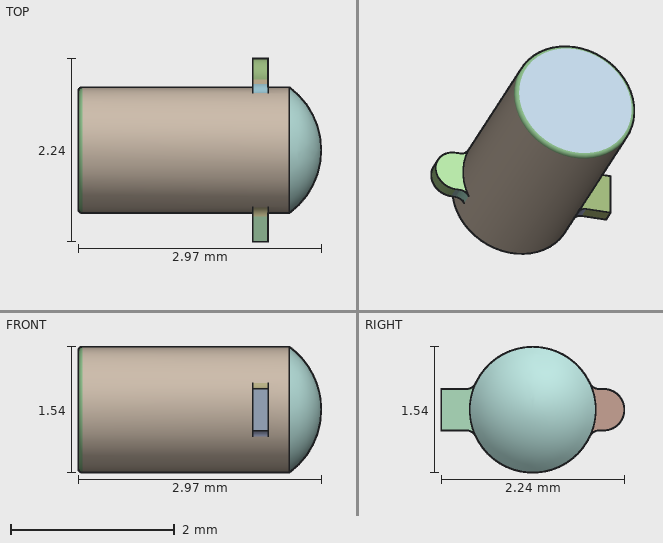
import cadquery as cq
import math

body_radius = 0.77
overall_length = 2.97
dome_height = 0.39
end_fillet = 0.05

tab_start = 2.13
tab_thickness = 0.19
tab_width = 0.51
tab_reach = 1.12
root_fillet = 0.12

dome_start = overall_length - dome_height
dome_radius = (body_radius**2 + dome_height**2) / (2 * dome_height)
dome_half_angle = math.asin(body_radius / dome_radius) / 2
dome_center = overall_length - dome_radius
tab_half_width = tab_width / 2

blend_center_z = tab_half_width + root_fillet
blend_center_y = math.sqrt((body_radius + root_fillet)**2 - blend_center_z**2)
blend_angle = math.atan2(blend_center_z, blend_center_y)
blend_mid_angle = (blend_angle + math.pi / 2) / 2
body_touch = (body_radius * math.cos(blend_angle), body_radius * math.sin(blend_angle))
blend_mid = (
    blend_center_y - root_fillet * math.cos(blend_mid_angle),
    blend_center_z - root_fillet * math.sin(blend_mid_angle),
)


def make_body():
    """Round pin with a filleted flat end and a shallow spherical dome."""
    fillet_mid = end_fillet * (1 - math.sqrt(0.5))
    dome_mid = (
        dome_center + dome_radius * math.cos(dome_half_angle),
        dome_radius * math.sin(dome_half_angle),
    )
    return (
        cq.Workplane("XZ")
        .lineTo(0, body_radius - end_fillet)
        .threePointArc((fillet_mid, body_radius - fillet_mid), (end_fillet, body_radius))
        .lineTo(dome_start, body_radius)
        .threePointArc(dome_mid, (overall_length, 0))
        .close()
        .revolve(360, (0, 0, 0), (1, 0, 0))
    )


def make_tab(side, round_tip):
    """Radial tab on the +Y (side = 1) or -Y (side = -1) flank of the body."""

    def point(y, z):
        return (side * y, z)

    straight_end = tab_reach - tab_half_width if round_tip else tab_reach
    outline = (
        cq.Workplane("YZ", origin=(tab_start, 0, 0))
        .lineTo(*point(body_touch[0], body_touch[1]))
        .threePointArc(point(*blend_mid), point(blend_center_y, tab_half_width))
        .lineTo(*point(straight_end, tab_half_width))
    )
    lower_tip = point(straight_end, -tab_half_width)
    if round_tip:
        outline = outline.threePointArc(point(tab_reach, 0), lower_tip)
    else:
        outline = outline.lineTo(*lower_tip)
    return (
        outline
        .lineTo(*point(blend_center_y, -tab_half_width))
        .threePointArc(point(blend_mid[0], -blend_mid[1]), point(body_touch[0], -body_touch[1]))
        .close()
        .extrude(tab_thickness)
    )


result = make_body()
result = result.union(make_tab(1, round_tip=True))
result = result.union(make_tab(-1, round_tip=False))